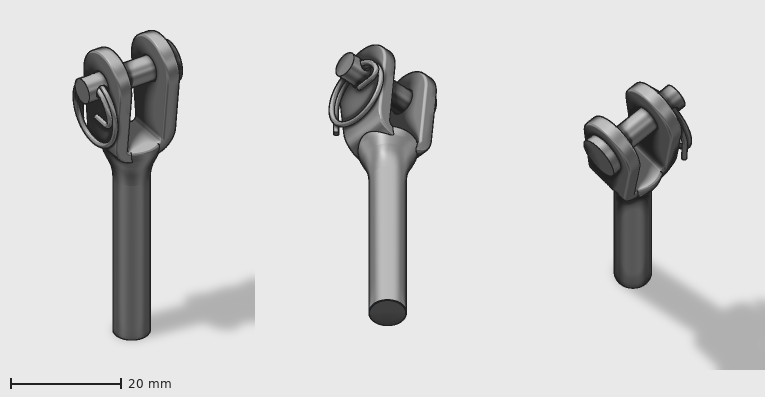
import cadquery as cq
import math

total_height = 62
shank_radius = 3.4
shank_chamfer = 0.1
shank_top = 33.5
neck_mid = 38.1
neck_mid_radius = 4.6
neck_top_radius = 5.6
edge_round = 0.5

arm_tip_radius = 6.25
arm_tip_center = total_height - arm_tip_radius
arm_foot = 40.9
arm_foot_half_width = 4.6
arm_foot_blend_radius = 18.6
gap_width = 7.45
fork_width = 13
gap_floor = 41.9
gap_corner_radius = 1.0
fork_underside_radius = 4.65
fork_bottom = 39.55

pin_axis = 55.55
pin_radius = 2.4
pin_hole_radius = 2.6
pin_head_radius = 4.0
pin_head_thickness = 1.75
pin_head_clearance = 0.1
pin_end_overhang = 4.1
cross_hole_radius = 1.25
cross_hole_offset = 1.3
cross_hole_rise = 0.1

wire_radius = 0.5
coil_gap = 0.03
ring_radius = 6.25
ring_drop = 5.65
ring_turns = 1.45
start_tail_length = 4.95
end_bend_radius = 1.35
end_tail_length = 3.35


def make_neck():
    """Shank that flares through an S-curve to a round platform at the gap floor."""
    return (
        cq.Workplane("XZ")
        .lineTo(shank_radius, 0)
        .lineTo(shank_radius, shank_top)
        .tangentArcPoint((neck_mid_radius, neck_mid), relative=False)
        .tangentArcPoint((neck_top_radius, gap_floor), relative=False)
        .lineTo(0, gap_floor)
        .close()
        .revolve(360, (0, 0, 0), (0, 1, 0))
        .faces(">Z").edges().fillet(edge_round)
        .faces("<Z").edges().chamfer(shank_chamfer)
    )


def make_arm_outline():
    """Round-tipped, tapered outline of the arms, extruded through the whole fork."""
    rise = arm_tip_center - arm_foot
    foot_distance = math.hypot(arm_foot_half_width, rise)
    tangent_angle = math.acos(arm_tip_radius / foot_distance) - math.atan2(rise, arm_foot_half_width)
    tangent_x = arm_tip_radius * math.cos(tangent_angle)
    tangent_z = arm_tip_center + arm_tip_radius * math.sin(tangent_angle)
    outline = (
        cq.Workplane("XZ")
        .moveTo(-arm_foot_half_width, fork_bottom)
        .lineTo(arm_foot_half_width, fork_bottom)
        .lineTo(arm_foot_half_width, arm_foot)
        .lineTo(tangent_x, tangent_z)
        .threePointArc((0, total_height), (-tangent_x, tangent_z))
        .lineTo(-arm_foot_half_width, arm_foot)
        .close()
        .extrude(fork_width / 2, both=True)
    )
    for corner_x in (-arm_foot_half_width, arm_foot_half_width):
        foot_corner = cq.selectors.NearestToPointSelector((corner_x, 0, arm_foot))
        outline = outline.edges("|Y").edges(foot_corner).fillet(arm_foot_blend_radius)
    return outline


def make_fork_side_profile():
    """U-shaped side profile with a rounded underside and a round-cornered gap."""
    blank = (
        cq.Workplane("XY")
        .box(2 * arm_tip_radius, fork_width, total_height - fork_bottom, centered=(True, True, False))
        .edges("|X and <Z").fillet(fork_underside_radius)
    )
    gap = (
        cq.Workplane("XY")
        .box(2 * arm_tip_radius, gap_width, total_height - gap_floor, centered=(True, True, False))
        .edges("|X and <Z").fillet(gap_corner_radius)
        .translate((0, 0, gap_floor - fork_bottom))
    )
    return blank.cut(gap).translate((0, 0, fork_bottom))


def make_terminal():
    """Shank, neck and fork arms as one solid, with the pin hole through both arms."""
    arms = make_arm_outline().intersect(make_fork_side_profile())
    arms = arms.edges("not (|X or |Y)").fillet(edge_round)
    pin_hole = (
        cq.Workplane("XZ", origin=(0, 0, pin_axis))
        .circle(pin_hole_radius)
        .extrude(fork_width, both=True)
    )
    return make_neck().union(arms).cut(pin_hole)


def make_pin():
    """Headed pin with a cross hole for the split ring."""
    arm_front = -fork_width / 2
    head_seat = fork_width / 2 + pin_head_clearance
    head = (
        cq.Workplane("XZ", origin=(0, head_seat + pin_head_thickness, pin_axis))
        .circle(pin_head_radius)
        .extrude(pin_head_thickness)
    )
    shaft = (
        cq.Workplane("XZ", origin=(0, head_seat, pin_axis))
        .circle(pin_radius)
        .extrude(head_seat - arm_front + pin_end_overhang)
    )
    cross_hole = (
        cq.Workplane("YZ", origin=(0, arm_front - cross_hole_offset, pin_axis + cross_hole_rise))
        .circle(cross_hole_radius)
        .extrude(pin_radius, both=True)
    )
    return head.union(shaft).cut(cross_hole)


def make_split_ring():
    """Wire coil, starting level with the front arm face, with a straight tail at each end."""
    pitch = 2 * wire_radius + coil_gap
    ring_center = cq.Vector(0, -fork_width / 2 - wire_radius, pin_axis - ring_drop)

    coil = (
        cq.Wire.makeHelix(pitch, pitch * ring_turns, ring_radius, lefthand=True)
        .rotate(cq.Vector(), cq.Vector(1, 0, 0), 90)
        .rotate(cq.Vector(), cq.Vector(0, 1, 0), 180)
        .translate(ring_center)
    )

    coil_start = coil.startPoint()
    tail_start = coil_start - coil.tangentAt(0) * start_tail_length
    start_tail = cq.Edge.makeLine(tail_start, coil_start)

    coil_end = coil.endPoint()
    heading = coil.tangentAt(1)
    bend_end = coil_end + cq.Vector(heading.z, 0, -heading.x - 1) * end_bend_radius
    end_bend = cq.Edge.makeTangentArc(coil_end, heading, bend_end)
    tail_end = bend_end + end_bend.tangentAt(1) * end_tail_length
    end_tail = cq.Edge.makeLine(bend_end, tail_end)

    path = cq.Wire.assembleEdges([start_tail, *coil.Edges(), end_bend, end_tail])
    wire_section = cq.Plane(origin=tail_start, normal=start_tail.tangentAt(0))
    return cq.Workplane(wire_section).circle(wire_radius).sweep(cq.Workplane(path))


terminal = make_terminal()
pin = make_pin()
split_ring = make_split_ring()
result = cq.Compound.makeCompound([*terminal.solids().vals(), *pin.solids().vals(), split_ring.val()])